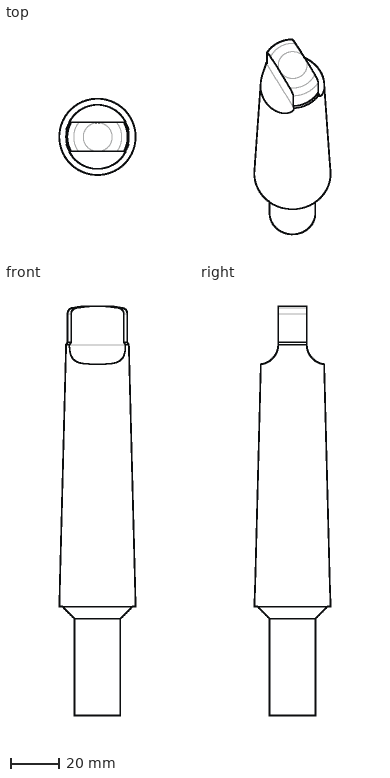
import cadquery as cq

total_length = 169.0
spigot_diameter = 19.0
spigot_length = 40.0
neck_height = 5.0

taper_base_diameter = 31.6
taper_ratio = 1 / 19.254

tang_diameter = 24.8
tang_thickness = 11.9
tang_turned_length = 15.0
tang_flat_length = 16.0
runout_radius = 8.0
tang_corner_radius = 2.5
crown_diameter = 11.9
crown_height = 0.7

spigot_radius = spigot_diameter / 2
neck_top_radius = spigot_radius + neck_height
taper_base_z = spigot_length + neck_height
taper_top_z = total_length - tang_flat_length
tang_bottom_z = total_length - tang_turned_length
taper_base_radius = taper_base_diameter / 2
taper_top_radius = taper_base_radius - (taper_top_z - taper_base_z) * taper_ratio / 2
tang_radius = tang_diameter / 2
crown_base_z = total_length - crown_height


def turned_body():
    """Spigot, neck, taper and round tang blank, revolved about Z."""
    corner_start = (tang_radius, crown_base_z - tang_corner_radius)
    corner_end = (tang_radius - tang_corner_radius, crown_base_z)
    profile = (
        cq.Workplane("XZ")
        .moveTo(0, 0)
        .lineTo(spigot_radius, 0)
        .lineTo(spigot_radius, spigot_length)
        .lineTo(neck_top_radius, taper_base_z)
        .lineTo(taper_base_radius, taper_base_z)
        .lineTo(taper_top_radius, taper_top_z)
        .lineTo(tang_radius, tang_bottom_z)
        .lineTo(*corner_start)
        .radiusArc(corner_end, -tang_corner_radius)
        .lineTo(crown_diameter / 2, total_length)
        .lineTo(0, total_length)
        .close()
    )
    return profile.revolve(360, (0, 0), (0, 1))


def flat_cutter(side):
    """Material beside one tang flat, with a concave run-out; side is -1 or 1 along Y."""
    flat_y = side * tang_thickness / 2
    outer_y = side * (tang_thickness / 2 + runout_radius)
    profile = (
        cq.Workplane("YZ")
        .moveTo(flat_y, total_length)
        .lineTo(flat_y, taper_top_z)
        .radiusArc((outer_y, taper_top_z - runout_radius), -side * runout_radius)
        .lineTo(outer_y, total_length)
        .close()
    )
    return profile.extrude(taper_base_radius, both=True)


result = turned_body()
for flat_side in (-1, 1):
    result = result.cut(flat_cutter(flat_side))